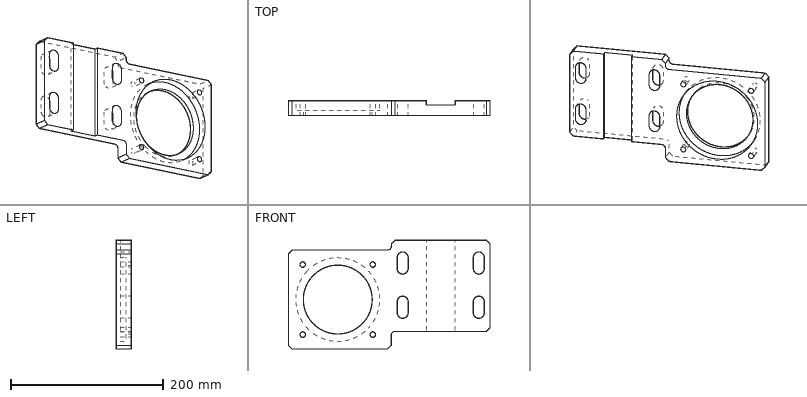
import cadquery as cq

length = 265.0
thickness = 20.0
height = 143.0

motor_width = 135.2
motor_height = 130.0
mount_height = 120.0
corner_chamfer = 5.0
inner_radius = 5.0
mount_bottom = height - mount_height

bore_diameter = 90.0
bore_lip = 7.0
recess_diameter = 110.0
bore_x = 65.0
bore_z = motor_height / 2
bolt_pitch = 92.0
bolt_diameter = 7.0

slot_width = 14.0
slot_height = 29.0
slot_pitch_x = 100.0
slot_pitch_z = 58.0
slot_center_x = 200.0
slot_center_z = height - 59.0

groove_width = 38.0
groove_depth = 5.5


def front_plane(x, z):
    """Sketch plane on the front face at (x, z), with its normal toward -Y."""
    return cq.Workplane("XZ", origin=(x, 0, z))


def make_plate():
    outline = [
        (0, 0),
        (motor_width, 0),
        (motor_width, mount_bottom),
        (length, mount_bottom),
        (length, height),
        (motor_width, height),
        (motor_width, motor_height),
        (0, motor_height),
    ]
    inner_corners = [(motor_width, mount_bottom), (motor_width, motor_height)]
    plate = front_plane(0, 0).polyline(outline).close().extrude(-thickness)
    for x, z in outline:
        corner = plate.edges(cq.selectors.NearestToPointSelector((x, thickness / 2, z)))
        if (x, z) in inner_corners:
            plate = corner.fillet(inner_radius)
        else:
            plate = corner.chamfer(corner_chamfer)
    return plate


def make_motor_holes():
    bore = front_plane(bore_x, bore_z).circle(bore_diameter / 2).extrude(-thickness)
    recess = (
        front_plane(bore_x, bore_z)
        .workplane(offset=-bore_lip)
        .circle(recess_diameter / 2)
        .extrude(bore_lip - thickness)
    )
    bolts = (
        front_plane(bore_x, bore_z)
        .rarray(bolt_pitch, bolt_pitch, 2, 2)
        .circle(bolt_diameter / 2)
        .extrude(-thickness)
    )
    return bore.union(recess).union(bolts)


def make_slots():
    return (
        front_plane(slot_center_x, slot_center_z)
        .rarray(slot_pitch_x, slot_pitch_z, 2, 2)
        .slot2D(slot_height, slot_width, 90)
        .extrude(-thickness)
    )


def make_groove():
    return cq.Workplane("XY").box(
        groove_width, groove_depth, height, centered=(True, False, False)
    ).translate((slot_center_x, thickness - groove_depth, 0))


result = make_plate().cut(make_motor_holes()).cut(make_slots()).cut(make_groove())